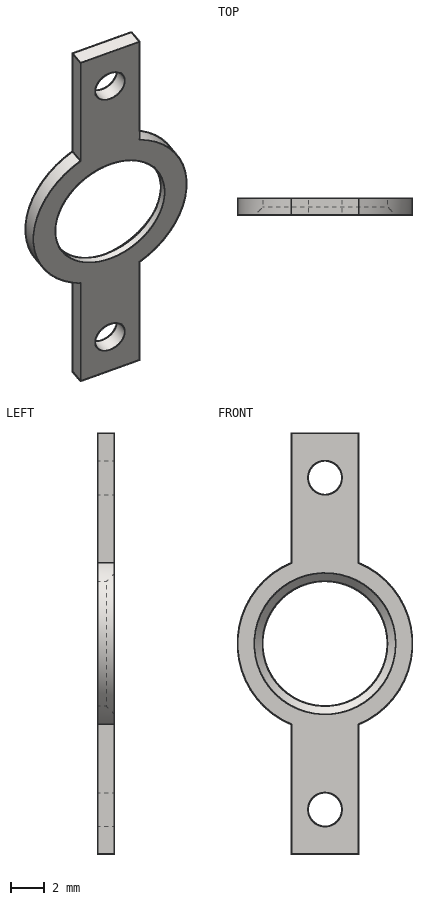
import cadquery as cq

length = 25.0
thickness = 1.0
arm_width = 4.0
ring_diameter = 10.4
bore_diameter = 7.4
bevel = 0.5
screw_hole_diameter = 2.0
screw_hole_spacing = 19.7

front_plane = cq.Workplane("XZ")

strip = front_plane.rect(arm_width, length).extrude(-thickness)
ring = front_plane.circle(ring_diameter / 2).extrude(-thickness)
plate = strip.union(ring)

bore = front_plane.circle(bore_diameter / 2).extrude(-thickness)
seat = (
    front_plane.circle(bore_diameter / 2 + bevel)
    .workplane(offset=-bevel)
    .circle(bore_diameter / 2)
    .loft(ruled=True)
)

screw_holes = (
    front_plane.pushPoints([(0, side * screw_hole_spacing / 2) for side in (-1, 1)])
    .circle(screw_hole_diameter / 2)
    .extrude(-thickness)
)

result = plate.cut(bore).cut(seat).cut(screw_holes)